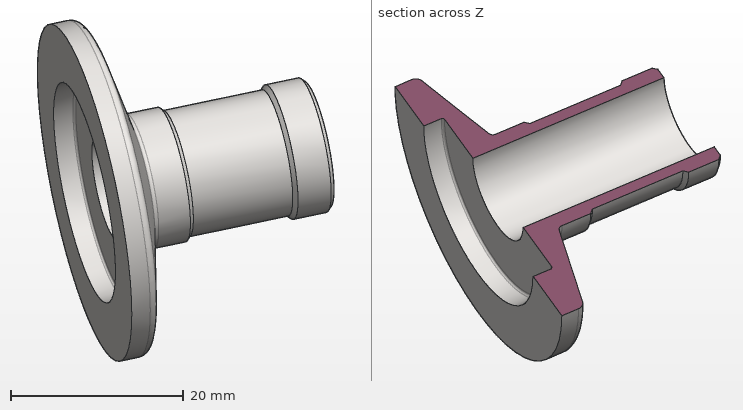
import cadquery as cq
import math

flange_radius = 20.0
length = 28.0
bore_radius = 6.0

rim_height = 3.0
cone_angle = math.radians(15)
rim_fillet = 1.0
neck_fillet = 0.6

collar_radius = 8.0
tube_diameter = 15.0
tube_radius = tube_diameter / 2
chamfer = collar_radius - tube_radius
lower_collar_end = 11.0
upper_collar_start = 23.0

recess_radius = 13.1
recess_depth = 2.6
recess_fillet = 0.3

cone_end = rim_height + (flange_radius - collar_radius) * math.tan(cone_angle)


def circle_selector(radius, y):
    """Select the edges of a circle about the Y axis, by a thin box around it."""
    margin = 0.005
    reach = radius + margin
    return cq.selectors.BoxSelector(
        (-reach, y - margin, -reach), (reach, y + margin, reach), boundingbox=True
    )


def turned_body():
    profile = [
        (0, 0),
        (flange_radius, 0),
        (flange_radius, rim_height),
        (collar_radius, cone_end),
        (collar_radius, lower_collar_end - chamfer),
        (tube_radius, lower_collar_end),
        (tube_radius, upper_collar_start),
        (collar_radius, upper_collar_start + chamfer),
        (collar_radius, length - chamfer),
        (collar_radius - chamfer, length),
        (0, length),
    ]
    body = cq.Workplane("XY").polyline(profile).close().revolve(360, (0, 0), (0, 1))
    body = body.edges(circle_selector(flange_radius, rim_height)).fillet(rim_fillet)
    return body.edges(circle_selector(collar_radius, cone_end)).fillet(neck_fillet)


def cylinder(radius, height):
    """Cylinder about the Y axis, rising from the flange face."""
    return cq.Workplane("XZ").circle(radius).extrude(-height)


recess = cylinder(recess_radius, recess_depth).faces(">Y").edges().fillet(recess_fillet)
result = turned_body().cut(recess).cut(cylinder(bore_radius, length))